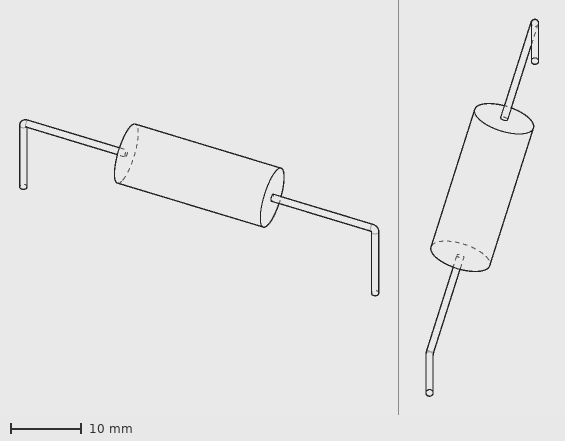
import cadquery as cq

overall_length = 54.95
overall_height = 17.5
body_diameter = 8.75
body_length = 22.4
lead_diameter = 1.05
bend_radius = 0.55

lead_radius = lead_diameter / 2
body_end = body_length / 2
leg_x = overall_length / 2 - lead_radius
bend_start = leg_x - bend_radius
leg_bottom = body_diameter / 2 - overall_height
leg_length = -bend_radius - leg_bottom


def make_body():
    """Plain cylinder along X, centred on the origin."""
    return cq.Workplane("YZ", origin=(-body_end, 0, 0)).circle(body_diameter / 2).extrude(body_length)


def make_lead(side):
    """Round wire leaving one body end and bent down; side is +1 or -1 along X."""
    axial = cq.Workplane("YZ", origin=(body_end, 0, 0)).circle(lead_radius).extrude(bend_start - body_end)
    bend = (
        cq.Workplane("YZ", origin=(bend_start, 0, 0))
        .circle(lead_radius)
        .revolve(90, (0, -bend_radius, 0), (1, -bend_radius, 0))
    )
    leg = cq.Workplane("XY", origin=(leg_x, 0, leg_bottom)).circle(lead_radius).extrude(leg_length)
    lead = axial.union(bend).union(leg)
    if side < 0:
        lead = lead.mirror("YZ")
    return lead


body = make_body()
leads = [make_lead(side) for side in (-1, 1)]

result = cq.Compound.makeCompound([body.val(), *[lead.val() for lead in leads]])